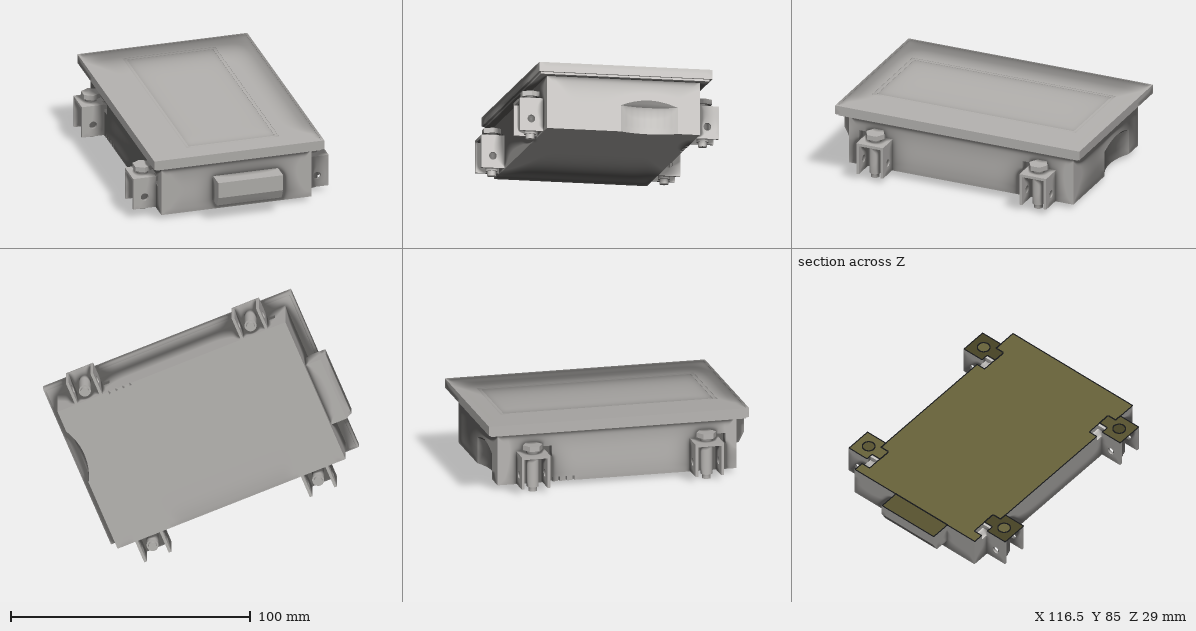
import cadquery as cq
import math


overall_length = 116.5
overall_width = 85.0
overall_height = 29.0

bezel_length = 112.0
bezel_width = 74.0
bezel_thickness = 4.0
rim_width = 1.0
membrane_length = bezel_length - 2 * rim_width
membrane_width = bezel_width - 2 * rim_width
window_length = 93.3
window_width = 40.3
screen_length = 90.2
screen_width = 37.5
recess_step = 0.1

land_inset = 1.0
land_thickness = 0.8
land_bottom = -(bezel_thickness + land_thickness)

body_length = 102.9
body_width = 65.2
body_center_x = 0.2
body_bottom = -27.0
body_left = body_center_x - body_length / 2
body_right = body_center_x + body_length / 2
body_side = body_width / 2

scoop_center_y = -11.1
scoop_width = 24.3
scoop_depth = 3.1
scoop_straight_top = -15.8
scoop_tip = -13.3
scoop_radius = ((scoop_width / 2) ** 2 + scoop_depth ** 2) / (2 * scoop_depth)

vent_count = 4
vent_pitch = 3.1
first_vent_x = -28.0
vent_width = 0.8
vent_height = 2.0
vent_depth = 1.2

bracket_pitch = 74.8
bracket_width = 12.2
bracket_wall = 1.2
bracket_top = -12.7
bracket_bottom = -26.7
bracket_reach = (overall_width - body_width) / 2
pivot_diameter = 3.3
pivot_z = -21.5
tab_width = 5.5
tab_depth = 4.1

pocket_top = -11.4
pocket_bottom = -16.0
pocket_tall_start = 3.7
pocket_end = 9.3

screw_offset = 4.2
head_across_flats = 7.2
head_top = -9.1
head_bottom = -11.2
shank_diameter = 5.0
shank_bottom = body_bottom
tip_diameter = 3.6

connector_width = 28.2
connector_center_y = 3.6
connector_top = -11.4
connector_bottom = -22.6
connector_notch_length = 1.4
connector_notch_depth = 1.3
connector_bevel_length = 2.2
connector_bevel_height = 4.3
connector_right = overall_length - bezel_length / 2


def block(x_range, y_range, z_range):
    """Box between the given lower and upper limits."""
    (x0, x1), (y0, y1), (z0, z1) = x_range, y_range, z_range
    return cq.Workplane("XY").box(x1 - x0, y1 - y0, z1 - z0, centered=False).translate((x0, y0, z0))


def plate(length, width, top, bottom, center_x=0.0):
    """Flat rectangular slab centred on the X axis."""
    return block(
        (center_x - length / 2, center_x + length / 2), (-width / 2, width / 2), (bottom, top)
    )


def cylinder(diameter, top, bottom):
    """Upright cylinder on the Z axis."""
    return cq.Workplane("XY").workplane(offset=bottom).circle(diameter / 2).extrude(top - bottom)


def bracket_places(part):
    """Copies of a part made at the middle of the -Y side, one for each bracket place."""
    copies = []
    for turned in (False, True):
        sided = part.mirror("XZ") if turned else part
        for direction in (-1, 1):
            x = body_center_x + direction * bracket_pitch / 2
            copies.append(sided.translate((x, 0, 0)))
    return copies


def make_scoop():
    axis_x = body_left + scoop_depth - scoop_radius
    profile = [
        (0, body_bottom),
        (scoop_radius, body_bottom),
        (scoop_radius, scoop_straight_top),
        (scoop_radius - scoop_depth, scoop_tip),
        (0, scoop_tip),
    ]
    scoop = cq.Workplane("XZ").polyline(profile).close().revolve(360, (0, 0, 0), (0, 1, 0))
    return scoop.translate((axis_x, scoop_center_y, 0))


def make_pocket():
    y_range = (-body_side, -body_side + tab_depth)
    low_end = block((-tab_width / 2, pocket_end), y_range, (bracket_top - bracket_wall, pocket_top))
    tall_end = block((pocket_tall_start, pocket_end), y_range, (pocket_bottom, pocket_top))
    return low_end.union(tall_end)


def make_housing():
    housing = plate(bezel_length, bezel_width, 0, -bezel_thickness)
    housing = housing.union(
        plate(bezel_length - 2 * land_inset, bezel_width - 2 * land_inset, -bezel_thickness, land_bottom)
    )
    housing = housing.union(plate(body_length, body_width, land_bottom, body_bottom, body_center_x))

    recesses = [
        (membrane_length, membrane_width),
        (window_length, window_width),
        (screen_length, screen_width),
    ]
    for level, (length, width) in enumerate(recesses, start=1):
        housing = housing.cut(plate(length, width, 0, -level * recess_step))

    housing = housing.cut(make_scoop())

    for index in range(vent_count):
        x = first_vent_x + index * vent_pitch
        vent = block(
            (x - vent_width / 2, x + vent_width / 2),
            (-body_side, -body_side + vent_depth),
            (body_bottom, body_bottom + vent_height),
        )
        housing = housing.cut(vent)

    for pocket in bracket_places(make_pocket()):
        housing = housing.cut(pocket)
    return housing


def make_bracket():
    """U-shaped bracket, open downwards, with a tab that reaches into the housing."""
    half = bracket_width / 2
    inner_half = half - bracket_wall
    y_range = (-body_side - bracket_reach, -body_side)
    bracket = block((-half, half), y_range, (bracket_bottom, bracket_top))
    bracket = bracket.cut(
        block((-inner_half, inner_half), y_range, (bracket_bottom, bracket_top - bracket_wall))
    )
    tab = block(
        (-tab_width / 2, tab_width / 2),
        (-body_side, -body_side + tab_depth),
        (bracket_top - bracket_wall, bracket_top),
    )
    bracket = bracket.union(tab)

    screw_hole = cylinder(shank_diameter, bracket_top, bracket_top - bracket_wall)
    bracket = bracket.cut(screw_hole.translate((0, -body_side - screw_offset, 0)))

    pivot_y = -body_side - bracket_reach / 2
    pivot_hole = cq.Workplane("YZ").center(pivot_y, pivot_z).circle(pivot_diameter / 2)
    return bracket.cut(pivot_hole.extrude(half, both=True))


def make_screw():
    across_corners = head_across_flats / math.cos(math.pi / 6)
    head = cq.Workplane("XY").workplane(offset=head_bottom).polygon(6, across_corners)
    screw = head.extrude(head_top - head_bottom)
    screw = screw.union(cylinder(shank_diameter, head_bottom, shank_bottom))
    screw = screw.union(cylinder(tip_diameter, shank_bottom, -overall_height))
    return screw.translate((0, -body_side - screw_offset, 0))


def make_connector():
    notch_x = body_right + connector_notch_length
    notch_z = connector_top - connector_notch_depth
    outline = [
        (body_right, connector_bottom),
        (connector_right - connector_bevel_length, connector_bottom),
        (connector_right, connector_bottom + connector_bevel_height),
        (connector_right, connector_top),
        (notch_x, connector_top),
        (notch_x, notch_z),
        (body_right, notch_z),
    ]
    connector = cq.Workplane("XZ").polyline(outline).close().extrude(connector_width / 2, both=True)
    return connector.translate((0, connector_center_y, 0))


housing = make_housing()
connector = make_connector()
brackets = bracket_places(make_bracket())
screws = bracket_places(make_screw())

bodies = [housing, connector, *brackets, *screws]
result = cq.Compound.makeCompound([body.val() for body in bodies])